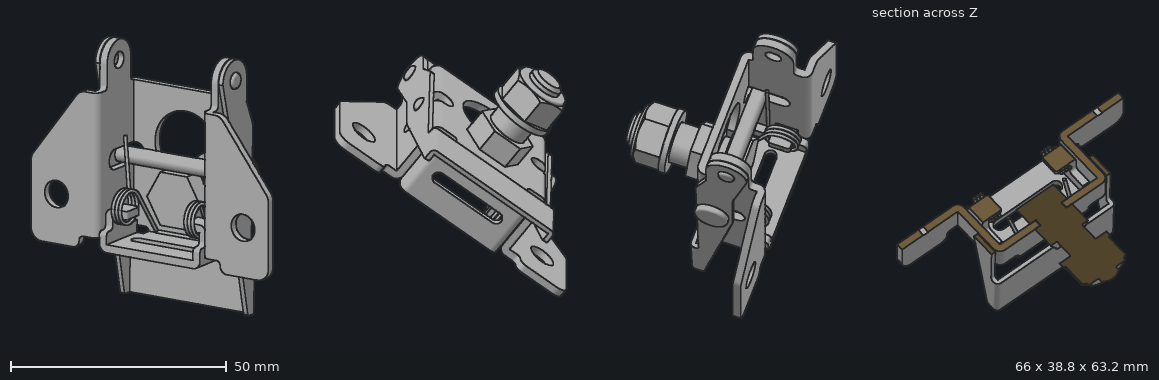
import cadquery as cq
import math


SHEET = 2.0
TOTAL_WIDTH = 66.0
CASE_WIDTH = 32.9
CASE_DEPTH = 17.0
CASE_TOP = 52.1
CASE_BOTTOM = 17.15
WALL_OUT = CASE_WIDTH / 2
WALL_IN = WALL_OUT - SHEET
PLATE_FRONT = CASE_DEPTH - SHEET
BEND_FILL = 0.99

WING_OUT = TOTAL_WIDTH / 2
WING_BOTTOM = 14.2
WING_TOP_CORNER_X = 19.55
WING_SIDE_CORNER_Z = 34.4
WING_NOTCH_X = 19.6
WING_CORNER_R = 3.0
WING_FOOT_R = 1.85
WING_NOTCH_R = 1.05
WING_HOLE_X = 25.95
WING_HOLE_D = 6.5

PIVOT_Y = 9.0
LUG_R = 5.0
LUG_TOP = 63.2
PIVOT_Z = LUG_TOP - LUG_R
LUG_ROOT_R = 1.0
BOSS_D = 3.95
BOSS_TIP_X = 18.5
BOSS_EDGE_R = 0.7
BOSS_HOLE_DEPTH = 1.6

KEYHOLE_D = 16.95
KEYHOLE_Z = 38.15
BOLT_Z = 26.2
SHANK_D = 9.85

PIN_D = 4.0
PIN_Y = 12.4
PIN_Z = 34.65
PIN_SLOT_H = 4.9
PIN_SLOT_FRONT = 4.9
PIN_SLOT_IN = 11.4

TRAY_BOTTOM = WING_BOTTOM
TRAY_TOP = TRAY_BOTTOM + SHEET
TRAY_OUT = 14.0
TRAY_IN = TRAY_OUT - SHEET
TRAY_BACK = 12.9
TRAY_NECK = 10.3
RELIEF_R = 1.0
TRAY_SLOT_Y = 7.45
TRAY_SLOT_LENGTH = 19.7
TRAY_SLOT_WIDTH = 2.9

TAB_SHOULDER = 19.15
TAB_ROUND_R = 1.0
TONGUE_FRONT = 2.65
TONGUE_BACK = 8.0
TONGUE_TOP = 24.1
TONGUE_TIP_X = 8.05
TONGUE_CORNER = 0.65

LEVER_SHEET = 1.2
LEVER_OUT = 17.75
LEVER_IN = LEVER_OUT - LEVER_SHEET
HANDLE_TOP = 12.1
HANDLE_TOP_Y = 18.1
HANDLE_BOTTOM_Y = 17.75
ARM_BACK_TOP = (16.55, 46.1)
ARM_BACK_BOTTOM_Y = 15.85
ARM_FRONT_Y = 7.5
ARM_FRONT_TOP = 44.55
ARM_FRONT_BOTTOM = 32.3
ARM_FOOT_FRONT_Y = 14.45
ARM_FOOT_Z = 0.2
ARM_FOOT_R = 0.8
ARM_NOTCH_R = 0.8
SHOULDER_Z = 51.95

PIN_HEAD_D = 8.2
PIN_HEAD_TIP_X = 19.3
PIN_HEAD_EDGE = 0.65
PIN_DOME_R = 1.8
PIN_DOME_TIP_X = 18.8

HEX_FLATS = 12.8
HEX_FRONT = 10.0
HEX_BACK = 22.85
WASHER_D = 15.45
WASHER_FRONT = 27.8
NUT_FRONT = 29.4
NUT_FLATS = 13.0
NUT_BACK = 36.05
NUT_CHAMFER_START = 35.4
COLLAR_D = 12.9
COLLAR_BACK = 36.75
COLLAR_EDGE_R = 0.4
THREAD_D = 8.25
THREAD_TIP = 38.8
THREAD_CHAMFER = 0.9

WIRE_R = 0.4
COIL_R = 3.9
COIL_Y = 5.2
COIL_Z = 24.4
COIL_IN_X = 8.7
COIL_OUT_X = 11.55
COIL_START_ANGLE = 30.0
COIL_LOOPS = 3
LEG_TIP = (13.5, 10.15, 39.8)
BAR_END = (7.65, 14.6, 16.6)
COIL_STEPS = 72
LEG_STEPS = 5

SIDES = (-1, 1)


def block(x0, x1, y0, y1, z0, z1):
    """Axis-aligned block between the given limits."""
    return cq.Workplane("XY").box(x1 - x0, y1 - y0, z1 - z0, centered=False).translate((x0, y0, z0))


def rod_x(x0, x1, y, z, radius):
    """Round rod along X from x0 to x1."""
    return cq.Workplane("YZ", origin=(x0, y, z)).circle(radius).extrude(x1 - x0)


def rod_y(y0, y1, x, z, radius):
    """Round rod along Y from y0 to y1."""
    return cq.Workplane("XZ", origin=(x, y0, z)).circle(radius).extrude(y0 - y1)


def hex_y(y0, y1, flats, turn):
    """Hexagonal bar on the bolt axis; turn = 0 puts two corners level with the axis along X."""
    corners = flats / math.cos(math.pi / 6)
    hexagon = cq.Workplane("XZ", origin=(0, y0, BOLT_Z)).polygon(6, corners).extrude(y0 - y1)
    return hexagon.rotate((0, 0, BOLT_Z), (0, 1, BOLT_Z), turn)


def round_corner(body, point, radius):
    """Fillet the edge nearest to a point."""
    return body.edges(cq.NearestToPointSelector(point)).fillet(radius)


def mirrored(body):
    """Copy of a body on the other side of the latch."""
    return body.mirror("YZ")


def make_case():
    """Back plate and side walls, with rounded outer bends."""
    case = block(-WALL_OUT, WALL_OUT, 0, CASE_DEPTH, CASE_BOTTOM, CASE_TOP)
    case = case.edges("|Z and >Y").fillet(SHEET)
    case = case.cut(block(-WALL_IN, WALL_IN, 0, PLATE_FRONT, CASE_BOTTOM, CASE_TOP))
    mid_z = (CASE_BOTTOM + CASE_TOP) / 2
    for side in SIDES:
        case = round_corner(case, (side * WALL_IN, 0, mid_z), SHEET * BEND_FILL)
    return case


def make_wing():
    """Mounting wing on the +X side."""
    outline = [
        (WALL_OUT, CASE_TOP),
        (WING_TOP_CORNER_X, CASE_TOP),
        (WING_OUT, WING_SIDE_CORNER_Z),
        (WING_OUT, WING_BOTTOM),
        (WING_NOTCH_X, WING_BOTTOM),
        (WING_NOTCH_X, CASE_BOTTOM),
        (WALL_OUT, CASE_BOTTOM),
    ]
    radii = [WING_CORNER_R, WING_CORNER_R, WING_CORNER_R, WING_FOOT_R, WING_NOTCH_R]
    wing = cq.Workplane("XZ").polyline(outline).close().extrude(-SHEET)
    for (x, z), radius in zip(outline[1:-1], radii):
        wing = round_corner(wing, (x, SHEET / 2, z), radius)
    return wing.cut(rod_y(0, SHEET, WING_HOLE_X, BOLT_Z, WING_HOLE_D / 2))


def make_lug():
    """Rounded lug on top of the +X wall, with the hollow pivot boss."""
    half_root = LUG_R + LUG_ROOT_R
    root_z = CASE_TOP + LUG_ROOT_R
    lug = rod_x(WALL_IN, WALL_OUT, PIVOT_Y, PIVOT_Z, LUG_R)
    lug = lug.union(block(WALL_IN, WALL_OUT, PIVOT_Y - LUG_R, PIVOT_Y + LUG_R, CASE_TOP, PIVOT_Z))
    lug = lug.union(block(WALL_IN, WALL_OUT, PIVOT_Y - half_root, PIVOT_Y + half_root, CASE_TOP, root_z))
    for side in SIDES:
        lug = lug.cut(rod_x(WALL_IN, WALL_OUT, PIVOT_Y + side * half_root, root_z, LUG_ROOT_R))
    boss = rod_x(WALL_OUT, BOSS_TIP_X, PIVOT_Y, PIVOT_Z, BOSS_D / 2).faces(">X").edges().fillet(BOSS_EDGE_R)
    hollow = rod_x(WALL_IN, WALL_IN + BOSS_HOLE_DEPTH, PIVOT_Y, PIVOT_Z, BOSS_D / 2)
    return lug.union(boss).cut(hollow)


def make_tab():
    """Side tab of the tray on the +X side, with its inward tongue."""
    r = TAB_ROUND_R
    profile = (
        cq.Workplane("YZ", origin=(TRAY_IN, 0, 0))
        .moveTo(0, TRAY_BOTTOM)
        .lineTo(0, TAB_SHOULDER - r)
        .radiusArc((r, TAB_SHOULDER), r)
        .lineTo(TONGUE_FRONT - r, TAB_SHOULDER)
        .radiusArc((TONGUE_FRONT, TAB_SHOULDER + r), -r)
        .lineTo(TONGUE_FRONT, TONGUE_TOP)
        .lineTo(TONGUE_BACK, TONGUE_TOP)
        .lineTo(TONGUE_BACK, TAB_SHOULDER + r)
        .radiusArc((TONGUE_BACK + r, TAB_SHOULDER), -r)
        .lineTo(TRAY_BACK, TAB_SHOULDER)
        .lineTo(TRAY_BACK, TRAY_BOTTOM)
        .close()
    )
    tab = profile.extrude(SHEET)
    tongue = block(TONGUE_TIP_X, TRAY_IN, TONGUE_FRONT, TONGUE_BACK, TONGUE_TOP - SHEET, TONGUE_TOP)
    tongue = tongue.edges("|Z and <X").fillet(TONGUE_CORNER)
    mid_y = (TONGUE_FRONT + TONGUE_BACK) / 2
    return round_corner(tab.union(tongue), (TRAY_OUT, mid_y, TONGUE_TOP), SHEET * BEND_FILL)


def make_tray():
    """Slotted floor bent forward from the back plate, with two tabs."""
    tray = block(-TRAY_OUT, TRAY_OUT, 0, TRAY_BACK, TRAY_BOTTOM, TRAY_TOP)
    tab = make_tab()
    tray = tray.union(tab).union(mirrored(tab))
    tray = tray.edges("|Y and <Z").fillet(SHEET)
    bend = block(-TRAY_NECK, TRAY_NECK, TRAY_BACK, CASE_DEPTH, TRAY_BOTTOM, CASE_BOTTOM)
    bend = bend.cut(block(-TRAY_NECK, TRAY_NECK, TRAY_BACK, PLATE_FRONT, TRAY_TOP, CASE_BOTTOM))
    bend = bend.edges("|X and >Y and <Z").fillet(SHEET)
    for side in SIDES:
        centre_x = side * (TRAY_NECK + RELIEF_R)
        corner = block(
            min(side * TRAY_NECK, centre_x), max(side * TRAY_NECK, centre_x),
            PLATE_FRONT, CASE_DEPTH, TRAY_TOP, CASE_BOTTOM,
        )
        bend = bend.union(corner.cut(rod_y(PLATE_FRONT, CASE_DEPTH, centre_x, TRAY_TOP, RELIEF_R)))
    slot = (
        cq.Workplane("XY", origin=(0, TRAY_SLOT_Y, TRAY_BOTTOM))
        .slot2D(TRAY_SLOT_LENGTH, TRAY_SLOT_WIDTH)
        .extrude(SHEET)
    )
    return tray.union(bend).cut(slot)


def make_pin_slot():
    """Cutter for the +X pin slot, which wraps from the side wall around into the back plate."""
    radius = PIN_SLOT_H / 2
    low = PIN_Z - radius
    high = PIN_Z + radius
    front_y = PIN_SLOT_FRONT + radius
    inner_x = PIN_SLOT_IN + radius
    wall_slot = block(WALL_IN, WALL_OUT, front_y, CASE_DEPTH, low, high)
    wall_slot = wall_slot.union(rod_x(WALL_IN, WALL_OUT, front_y, PIN_Z, radius))
    plate_slot = block(inner_x, WALL_OUT, PLATE_FRONT, CASE_DEPTH, low, high)
    plate_slot = plate_slot.union(rod_y(PLATE_FRONT, CASE_DEPTH, inner_x, PIN_Z, radius))
    return wall_slot.union(plate_slot)


def make_keyhole():
    """Cutter for the round entry hole and the narrower slot that holds the bolt neck."""
    entry = rod_y(PLATE_FRONT, CASE_DEPTH, 0, KEYHOLE_Z, KEYHOLE_D / 2)
    half = SHANK_D / 2
    seat = rod_y(PLATE_FRONT, CASE_DEPTH, 0, BOLT_Z, half)
    return entry.union(seat).union(block(-half, half, PLATE_FRONT, CASE_DEPTH, BOLT_Z, KEYHOLE_Z))


def make_housing():
    """Whole sheet housing."""
    body = make_case().union(make_tray())
    wing = make_wing()
    lug = make_lug()
    for part in (wing, lug):
        body = body.union(part).union(mirrored(part))
    slot = make_pin_slot()
    return body.cut(slot).cut(mirrored(slot)).cut(make_keyhole())


def make_arm():
    """Flat arm on the +X side, reaching from the pivot down to the handle."""
    arm = (
        cq.Workplane("YZ", origin=(LEVER_IN, 0, 0))
        .moveTo(HANDLE_BOTTOM_Y, 0)
        .lineTo(HANDLE_TOP_Y, HANDLE_TOP)
        .lineTo(ARM_BACK_BOTTOM_Y + ARM_NOTCH_R, HANDLE_TOP)
        .radiusArc((ARM_BACK_BOTTOM_Y, HANDLE_TOP + ARM_NOTCH_R), ARM_NOTCH_R)
        .lineTo(*ARM_BACK_TOP)
        .lineTo(PIVOT_Y + LUG_R, SHOULDER_Z)
        .lineTo(PIVOT_Y + LUG_R, PIVOT_Z)
        .threePointArc((PIVOT_Y, LUG_TOP), (PIVOT_Y - LUG_R, PIVOT_Z))
        .lineTo(ARM_FRONT_Y, ARM_FRONT_TOP)
        .lineTo(ARM_FRONT_Y, ARM_FRONT_BOTTOM)
        .lineTo(ARM_FOOT_FRONT_Y, ARM_FOOT_Z)
        .lineTo(HANDLE_BOTTOM_Y - LEVER_SHEET, ARM_FOOT_Z)
        .close()
        .extrude(LEVER_SHEET)
    )
    arm = round_corner(arm, (LEVER_IN, ARM_FOOT_FRONT_Y, ARM_FOOT_Z), ARM_FOOT_R)
    return arm.cut(rod_x(LEVER_IN, LEVER_OUT, PIVOT_Y, PIVOT_Z, BOSS_D / 2))


def make_handle():
    """Slightly tilted plate that joins the two arms at the back."""
    return (
        cq.Workplane("YZ", origin=(-LEVER_OUT, 0, 0))
        .moveTo(HANDLE_BOTTOM_Y, 0)
        .lineTo(HANDLE_TOP_Y, HANDLE_TOP)
        .lineTo(HANDLE_TOP_Y - LEVER_SHEET, HANDLE_TOP)
        .lineTo(HANDLE_BOTTOM_Y - LEVER_SHEET, ARM_FOOT_Z)
        .close()
        .extrude(2 * LEVER_OUT)
    )


def make_pin():
    """Cross pin with a flat head on the -X side and a domed end on the +X side."""
    head_r = PIN_HEAD_D / 2
    dome_height = PIN_DOME_TIP_X - LEVER_OUT
    dome_r = (PIN_DOME_R**2 + dome_height**2) / (2 * dome_height)
    return (
        cq.Workplane("XY", origin=(0, PIN_Y, PIN_Z))
        .moveTo(-PIN_HEAD_TIP_X, 0)
        .lineTo(-PIN_HEAD_TIP_X, head_r - PIN_HEAD_EDGE)
        .radiusArc((-PIN_HEAD_TIP_X + PIN_HEAD_EDGE, head_r), PIN_HEAD_EDGE)
        .lineTo(-LEVER_OUT, head_r)
        .lineTo(-LEVER_OUT, PIN_D / 2)
        .lineTo(LEVER_OUT, PIN_D / 2)
        .lineTo(LEVER_OUT, PIN_DOME_R)
        .radiusArc((PIN_DOME_TIP_X, 0), dome_r)
        .close()
        .revolve(360, (0, 0, 0), (1, 0, 0))
    )


def make_lever():
    """Two arms, the handle plate with rounded bends, and the cross pin riveted into the arms."""
    arm = make_arm()
    lever = make_handle().union(arm).union(mirrored(arm))
    handle_mid_y = (HANDLE_TOP_Y + HANDLE_BOTTOM_Y) / 2
    for side in SIDES:
        lever = round_corner(lever, (side * LEVER_OUT, handle_mid_y, HANDLE_TOP / 2), LEVER_SHEET * BEND_FILL)
    return lever.union(make_pin())


def make_nut():
    """Hexagonal nut with chamfered corners and a round collar at the back."""
    nut = hex_y(NUT_FRONT, NUT_BACK, NUT_FLATS, 30)
    corner_r = NUT_FLATS / 2 / math.cos(math.pi / 6)
    envelope = rod_y(NUT_FRONT, NUT_BACK, 0, BOLT_Z, corner_r)
    envelope = envelope.faces(">Y").edges().chamfer(NUT_BACK - NUT_CHAMFER_START, corner_r - COLLAR_D / 2)
    collar = rod_y(NUT_BACK, COLLAR_BACK, 0, BOLT_Z, COLLAR_D / 2)
    collar = collar.faces(">Y").edges().fillet(COLLAR_EDGE_R)
    return nut.intersect(envelope).union(collar)


def make_bolt():
    """Hexagonal bolt with a round neck in the back plate, a washer, a nut and a threaded tip."""
    bolt = hex_y(HEX_FRONT, PLATE_FRONT, HEX_FLATS, 0)
    bolt = bolt.union(hex_y(CASE_DEPTH, HEX_BACK, HEX_FLATS, 0))
    bolt = bolt.union(rod_y(PLATE_FRONT, WASHER_FRONT, 0, BOLT_Z, SHANK_D / 2))
    bolt = bolt.union(rod_y(WASHER_FRONT, NUT_FRONT, 0, BOLT_Z, WASHER_D / 2))
    thread = rod_y(NUT_FRONT, THREAD_TIP, 0, BOLT_Z, THREAD_D / 2)
    thread = thread.faces(">Y").edges().chamfer(THREAD_CHAMFER)
    return bolt.union(make_nut()).union(thread)


def coil_point(turned):
    """Centre of the wire after the coil has turned by the given fraction of its whole sweep."""
    start = math.radians(COIL_START_ANGLE)
    angle = start + turned * (COIL_LOOPS * 2 * math.pi - start)
    x = COIL_IN_X + turned * (COIL_OUT_X - COIL_IN_X)
    return cq.Vector(x, COIL_Y + COIL_R * math.cos(angle), COIL_Z + COIL_R * math.sin(angle))


def make_spring():
    """Two mirrored coils with straight legs, joined by a bar in the corner behind the bolt."""
    bar_end = cq.Vector(*BAR_END)
    leg_tip = cq.Vector(*LEG_TIP)
    coil_points = [coil_point(n / COIL_STEPS) for n in range(COIL_STEPS + 1)]
    inner_leg = [bar_end + (coil_points[0] - bar_end) * (n / LEG_STEPS) for n in range(LEG_STEPS)]
    outer_leg = [leg_tip + (coil_points[-1] - leg_tip) * (n / LEG_STEPS) for n in range(LEG_STEPS)]
    path = cq.Edge.makeSpline(inner_leg + coil_points + outer_leg[::-1])
    section = cq.Workplane(cq.Plane(bar_end, normal=path.tangentAt(0))).circle(WIRE_R)
    half = section.sweep(cq.Workplane(path))
    half = half.union(cq.Workplane("XY").sphere(WIRE_R).translate(bar_end))
    bar = rod_x(-bar_end.x, bar_end.x, bar_end.y, bar_end.z, WIRE_R)
    return bar.union(half).union(mirrored(half))


housing = make_housing()
lever = make_lever()
bolt = make_bolt()
spring = make_spring()

result = cq.Compound.makeCompound([housing.val(), lever.val(), bolt.val(), spring.val()])